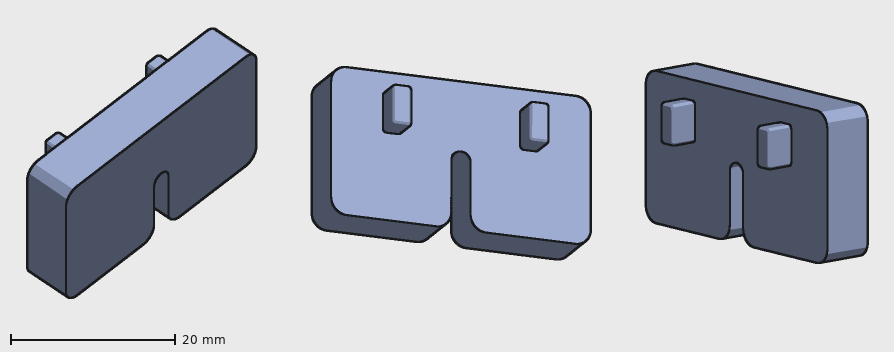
import cadquery as cq

plate_length = 34.0
plate_height = 19.0
plate_thickness = 6.5
corner_radius = 2.0

slot_width = 2.5
slot_depth = 10.0

peg_width = 2.5
peg_height = 5.2
peg_length = 3.5
peg_spacing = 18.0
peg_top_margin = 2.6
peg_edge_radius = 0.5

peg_center_z = plate_height - peg_top_margin - peg_height / 2


def make_plate():
    """Plate with the round-topped slot, and all outline corners rounded."""
    plate = cq.Workplane("XY").box(
        plate_thickness, plate_length, plate_height, centered=(False, True, False)
    )
    slot_straight = slot_depth - slot_width / 2
    slot = cq.Workplane("XY").box(
        plate_thickness, slot_width, slot_straight, centered=(False, True, False)
    )
    corners_rounded = plate.cut(slot).edges("|X").edges("<Z or >Z").fillet(corner_radius)
    slot_end = (
        cq.Workplane("YZ")
        .center(0, slot_straight)
        .circle(slot_width / 2)
        .extrude(plate_thickness)
    )
    return corners_rounded.cut(slot_end)


def make_peg(center_y):
    """Peg standing out from the -X face, with its free edges rounded."""
    return (
        cq.Workplane("XY")
        .box(peg_length, peg_width, peg_height)
        .edges("|X or <X")
        .fillet(peg_edge_radius)
        .translate((-peg_length / 2, center_y, peg_center_z))
    )


result = make_plate()
for side in (-1, 1):
    result = result.union(make_peg(side * peg_spacing / 2))